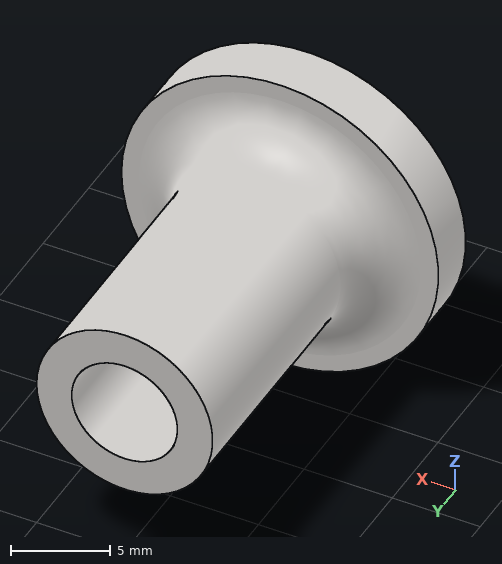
import cadquery as cq

total_length = 20.0
flange_diameter = 18.0
flange_thickness = 3.0
sleeve_diameter = 10.0
bore_diameter = 6.0
root_fillet_radius = 3.0


def cylinder_along_y(diameter, length):
    """Solid cylinder from the Y = 0 plane towards +Y."""
    return cq.Workplane("XZ").circle(diameter / 2).extrude(-length)


def flanged_sleeve():
    """Flange and sleeve joined by a concave fillet at the sleeve root."""
    flange = cylinder_along_y(flange_diameter, flange_thickness)
    sleeve = cylinder_along_y(sleeve_diameter, total_length)
    root_edge = cq.selectors.RadiusNthSelector(0)
    return (
        flange.union(sleeve)
        .faces(cq.selectors.NearestToPointSelector((0, flange_thickness, 0)))
        .edges(root_edge)
        .fillet(root_fillet_radius)
    )


bore = cylinder_along_y(bore_diameter, total_length)

result = flanged_sleeve().cut(bore)